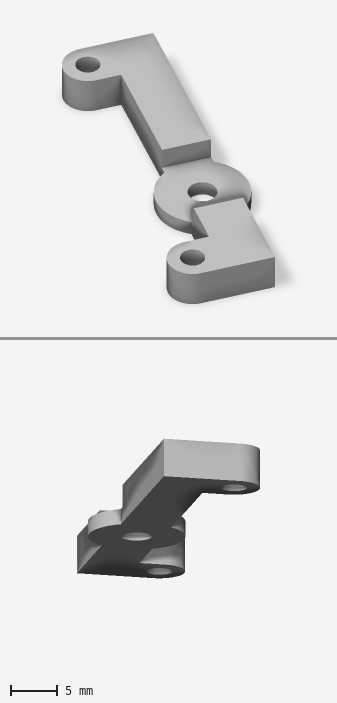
import cadquery as cq

length = 40.2
thickness = 4.2
arm_width = 5.6
lug_hole_diameter = 2.7
disc_diameter = 10.5
disc_thickness = 1.7
disc_hole_diameter = 3.2
disc_x = 24.32
depth = 13.65

lug_radius = arm_width / 2
lug_centers = [(lug_radius, lug_radius), (length - lug_radius, lug_radius)]
disc_y = depth - disc_diameter / 2
bar_front = disc_y - arm_width / 2
bar_back = disc_y + arm_width / 2


def block(x_min, y_min, x_size, y_size, z_min, z_size):
    """Box placed by its minimum corner."""
    return cq.Workplane("XY").box(x_size, y_size, z_size, centered=False).translate((x_min, y_min, z_min))


def cylinder(x, y, diameter, height):
    """Upright cylinder standing on the base plane."""
    return cq.Workplane("XY").center(x, y).circle(diameter / 2).extrude(height)


body = block(0, bar_front, length, arm_width, 0, thickness)
for x, y in lug_centers:
    lug_arm = block(x - lug_radius, y, arm_width, bar_back - y, 0, thickness)
    body = body.union(lug_arm).union(cylinder(x, y, arm_width, thickness))

gap = block(disc_x - disc_diameter / 2, bar_front, disc_diameter, arm_width,
            disc_thickness, thickness - disc_thickness)
body = body.cut(gap)

body = body.union(cylinder(disc_x, disc_y, disc_diameter, disc_thickness))

body = body.cut(cylinder(disc_x, disc_y, disc_hole_diameter, thickness))
for x, y in lug_centers:
    body = body.cut(cylinder(x, y, lug_hole_diameter, thickness))

result = body